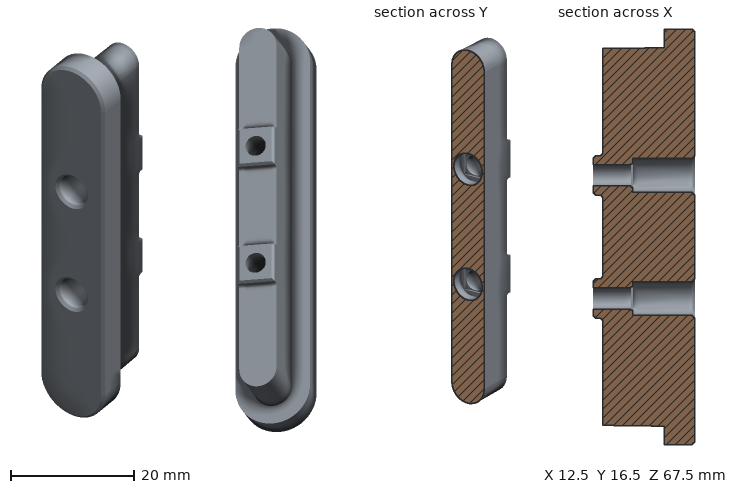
import cadquery as cq

overall_height = 67.5
overall_depth = 16.5
flange_width = 12.5
flange_thickness = 5.0
edge_chamfer = 0.5

end_centre_distance = overall_height - flange_width
stem_depth = 10.0
stem_root_width = 6.5
stem_back_width = 6.2

tab_length = 6.5
tab_chamfer = 0.4
tab_root_fillet = 0.5

screw_spacing = 20.0
screw_diameter = 3.4
head_diameter = 5.4
head_depth = 10.0
square_width = 3.7
square_depth = 0.35

stem_back = flange_thickness + stem_depth
tab_height = overall_depth - stem_back
width_lost_per_depth = (stem_root_width - stem_back_width) / stem_depth
tab_back_width = stem_back_width - width_lost_per_depth * tab_height
screw_heights = (-screw_spacing / 2, screw_spacing / 2)


def plane_at(y, z=0.0):
    """Sketch plane facing +Y, with its local x along +Z and its local y along +X."""
    return cq.Workplane(cq.Plane(origin=(0, y, z), xDir=(0, 0, 1), normal=(0, 1, 0)))


def make_flange():
    bar = plane_at(0).slot2D(overall_height, flange_width).extrude(flange_thickness)
    return bar.faces("<Y").chamfer(edge_chamfer)


def make_side_profile():
    """Side outline of the stem with its tabs, whose ends blend into the stem with fillets."""
    half_height = overall_height / 2
    fillet_top = stem_back + tab_root_fillet
    outline = (
        cq.Workplane("YZ", origin=(-flange_width / 2, 0, 0))
        .moveTo(flange_thickness, -half_height)
        .lineTo(stem_back, -half_height)
    )
    for z in screw_heights:
        tab_bottom = z - tab_length / 2
        tab_top = z + tab_length / 2
        outline = (
            outline.lineTo(stem_back, tab_bottom - tab_root_fillet)
            .radiusArc((fillet_top, tab_bottom), tab_root_fillet)
            .lineTo(overall_depth, tab_bottom)
            .lineTo(overall_depth, tab_top)
            .lineTo(fillet_top, tab_top)
            .radiusArc((stem_back, tab_top + tab_root_fillet), tab_root_fillet)
        )
    outline = outline.lineTo(stem_back, half_height).lineTo(flange_thickness, half_height)
    return outline.close().extrude(flange_width)


def make_stem_with_tabs():
    """One tapered bar as deep as the tabs, cut back between them to the back of the stem."""
    tapered_bar = (
        plane_at(flange_thickness)
        .slot2D(end_centre_distance + stem_root_width, stem_root_width)
        .workplane(offset=stem_depth + tab_height)
        .slot2D(end_centre_distance + tab_back_width, tab_back_width)
        .loft(ruled=True)
    )
    stem = tapered_bar.intersect(make_side_profile())
    return stem.faces(">Y").chamfer(tab_chamfer)


def make_screw_hole(z):
    rim = cq.Solid.makeCone(
        head_diameter / 2 + edge_chamfer,
        head_diameter / 2,
        edge_chamfer,
        cq.Vector(0, 0, z),
        cq.Vector(0, 1, 0),
    )
    recess = plane_at(0, z).circle(head_diameter / 2).extrude(head_depth)
    square_step = plane_at(head_depth, z).rect(square_width, square_width).extrude(square_depth)
    bore = plane_at(0, z).circle(screw_diameter / 2).extrude(overall_depth)
    return recess.union(rim).union(square_step).union(bore)


result = make_flange().union(make_stem_with_tabs())
for screw_height in screw_heights:
    result = result.cut(make_screw_hole(screw_height))